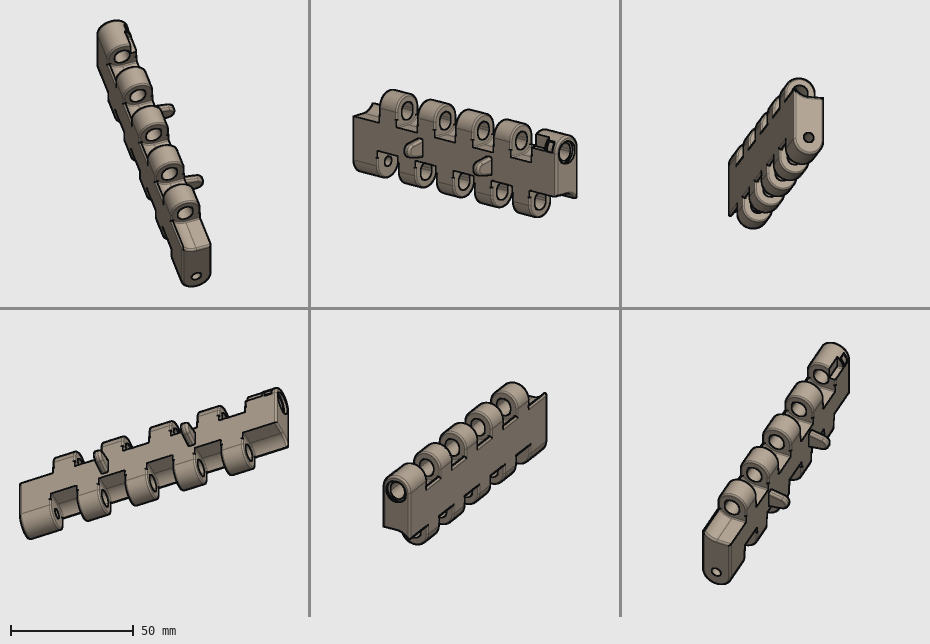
import cadquery as cq
import math

LENGTH = 114.2
HEIGHT = 37.5
THICKNESS = 12.7
TOTAL_DEPTH = 21.0
HALF_THICK = THICKNESS / 2
KNUCKLE_Z = HEIGHT / 2 - HALF_THICK
MARGIN = 2.3

PITCH = 21.2
KNUCKLE_WIDTH = 10.2
GAP = PITCH - KNUCKLE_WIDTH
SERIES_COUNT = 4
TOP_WIDE_KNUCKLE = 14.3
BOTTOM_WIDE_KNUCKLE = 14.4
DRAFT = 1.0

END_FILLET = 0.9
LIP_FILLET = 1.0
KNUCKLE_FILLET = 0.7
ROOT_FILLET = 0.5

VALLEY_RADIUS = 6.4
LIP_DROP = 3.3
LIP_Z = KNUCKLE_Z - LIP_DROP
FLOOR_Z = KNUCKLE_Z - VALLEY_RADIUS

BORE_SHIFT = 0.7
BORE_Z = KNUCKLE_Z - BORE_SHIFT
BORE_WIDTH = 6.5
BORE_HEIGHT = 7.5
BORE_DRAFT = 2.5
COUNTERBORE_DIAMETER = 9.4
COUNTERBORE_DEPTH = 1.4
PIN_TIP_DIAMETER = 4.1

NOTCH_START = 2.4
NOTCH_END = 5.6
NOTCH_REACH = 1.7
NOTCH_DEPTH = 0.3
POCKET_START = 6.5
POCKET_DEPTH = 2.7
POCKET_FILLET = 0.6

TOOTH_STARTS = (36.1, 74.6)
TOOTH_WIDTH = 3.2
TOOTH_BASE_HEIGHT = 7.9
TOOTH_TIP_RADIUS = 3.0
TOOTH_SLOPE = 10.0
TOOTH_FILLET = 1.0


def drafted_block(x_start, x_end, z_low, z_high, draft=DRAFT):
    """Block, overlapping front and back, that narrows towards the back by the draft angle.

    The X positions hold at the front face; a negative draft widens the block instead.
    """
    lean = math.tan(math.radians(draft))
    front_shift = MARGIN * lean
    back_shift = (THICKNESS + MARGIN) * lean
    front_y = -HALF_THICK - MARGIN
    back_y = HALF_THICK + MARGIN
    return (
        cq.Workplane("XY", origin=(0, 0, z_low))
        .moveTo(x_start - front_shift, front_y)
        .lineTo(x_end + front_shift, front_y)
        .lineTo(x_end - back_shift, back_y)
        .lineTo(x_start + back_shift, back_y)
        .close()
        .extrude(z_high - z_low)
    )


def make_plate():
    """Middle plate that carries both knuckle rows, with rounded front lips."""
    return (
        cq.Workplane("XY")
        .box(LENGTH, THICKNESS, 2 * LIP_Z, centered=(False, True, True))
        .edges("|X and <Y")
        .fillet(LIP_FILLET)
        .intersect(drafted_block(0, LENGTH, -LIP_Z, LIP_Z))
    )


def make_knuckle(x_start, x_end):
    """Upper knuckle from mid-height to its round tip; sides inside the length are rounded."""
    tip = cq.Workplane("YZ", origin=(0, 0, KNUCKLE_Z)).circle(HALF_THICK).extrude(LENGTH)
    web = cq.Workplane("XY").box(LENGTH, THICKNESS, KNUCKLE_Z, centered=(False, True, False))
    knuckle = web.union(tip).intersect(drafted_block(x_start, x_end, 0, HEIGHT / 2))
    rounded_sides = [">X"] if x_start == 0 else ["<X", ">X"]
    for side in rounded_sides:
        knuckle = knuckle.faces(side).edges("not <Z").fillet(KNUCKLE_FILLET)
    return knuckle


def trough(x_start, x_end):
    """Upper valley cutter: an arc at the front that runs out flat to the back."""
    back_y = HALF_THICK + MARGIN
    diagonal = VALLEY_RADIUS * math.sqrt(0.5)
    profile = (
        cq.Workplane("YZ", origin=(x_start - MARGIN, 0, 0))
        .moveTo(back_y, FLOOR_Z)
        .lineTo(0, FLOOR_Z)
        .threePointArc((-diagonal, KNUCKLE_Z - diagonal), (-VALLEY_RADIUS, KNUCKLE_Z))
        .lineTo(back_y, KNUCKLE_Z)
        .close()
    )
    gap = drafted_block(x_start, x_end, 0, HEIGHT / 2, -DRAFT)
    return profile.extrude(x_end - x_start + 2 * MARGIN).intersect(gap)


def inner_valley(x_start, x_end):
    """Cutter between two knuckles that leaves a fillet at both knuckle roots."""
    cutter = trough(x_start, x_end)
    for side in ("<X", ">X"):
        cutter = cutter.faces(side).edges("not (>Z or >Y)").fillet(ROOT_FILLET)
    return cutter


def end_valley(x_start):
    """Cutter from the last knuckle to the end; it flares to round the end edge."""
    cutter = trough(x_start, LENGTH + MARGIN)
    cutter = cutter.faces("<X").edges("not (>Z or >Y)").fillet(ROOT_FILLET)
    outside = drafted_block(LENGTH, LENGTH + 2 * MARGIN, 0, KNUCKLE_Z, -DRAFT)
    junction = cq.selectors.BoxSelector(
        (LENGTH - 1.1, -VALLEY_RADIUS, FLOOR_Z - 1.1),
        (LENGTH + 1.1, HALF_THICK, KNUCKLE_Z - 1.1),
    )
    return cutter.union(outside).edges(junction).fillet(END_FILLET)


def knuckle_spans(wide_knuckle):
    """Start and end of every knuckle in a row that begins with the wide knuckle."""
    starts = [wide_knuckle + GAP + i * PITCH for i in range(SERIES_COUNT)]
    return [(0, wide_knuckle)] + [(x, x + KNUCKLE_WIDTH) for x in starts]


def turned_over(shape):
    """Half turn about the Y line through mid-length, which swaps the two rows."""
    return shape.rotate((LENGTH / 2, 0, 0), (LENGTH / 2, 1, 0), 180)


def row_valleys(spans):
    inner = [inner_valley(left[1], right[0]) for left, right in zip(spans, spans[1:])]
    return inner + [end_valley(spans[-1][1])]


def make_tooth(x_start):
    """Tapered guide tooth with a round tip, rooted inside the plate."""
    slope = math.radians(TOOTH_SLOPE)
    tip_y = TOTAL_DEPTH - HALF_THICK
    tangent_y = tip_y - TOOTH_TIP_RADIUS * (1 - math.sin(slope))
    tangent_z = TOOTH_TIP_RADIUS * math.cos(slope)
    root_z = TOOTH_BASE_HEIGHT / 2 + HALF_THICK * math.tan(slope)
    return (
        cq.Workplane("YZ", origin=(x_start, 0, 0))
        .moveTo(0, -root_z)
        .lineTo(tangent_y, -tangent_z)
        .threePointArc((tip_y, 0), (tangent_y, tangent_z))
        .lineTo(0, root_z)
        .close()
        .extrude(TOOTH_WIDTH)
        .faces("<X or >X")
        .edges("not <Y")
        .fillet(TOOTH_FILLET)
    )


def slot_bore(x_start, x_end, z, draft=0):
    """Upright slot-shaped pin bore, narrowing along +X by the draft angle."""
    return (
        cq.Workplane("YZ", origin=(x_start, 0, z))
        .slot2D(BORE_HEIGHT, BORE_WIDTH, 90)
        .extrude(x_end - x_start, taper=draft)
    )


def round_bore(x_start, x_end, z, diameter):
    """Cylinder along X, centred in the thickness."""
    return cq.Workplane("YZ", origin=(x_start, 0, z)).circle(diameter / 2).extrude(x_end - x_start)


def back_block(x_start, x_end, reach):
    """Block reaching in from the back face, over the rear quarter of the upper knuckle tip."""
    block = cq.Workplane("XY").box(x_end - x_start, reach, HALF_THICK, centered=False)
    return block.translate((x_start, HALF_THICK - reach, KNUCKLE_Z))


def shallow_notch():
    """Cutter for the notch, whose floor follows the round knuckle tip."""
    floor = round_bore(NOTCH_START, NOTCH_END, KNUCKLE_Z, THICKNESS - 2 * NOTCH_DEPTH)
    return back_block(NOTCH_START, NOTCH_END, NOTCH_REACH).cut(floor)


def side_pocket():
    """Cutter for the pocket, open to the side, back and top, with one rounded floor corner."""
    pocket = back_block(POCKET_START, TOP_WIDE_KNUCKLE, POCKET_DEPTH)
    return pocket.faces("<X").edges("<Z").fillet(POCKET_FILLET)


top_spans = knuckle_spans(TOP_WIDE_KNUCKLE)
bottom_spans = knuckle_spans(BOTTOM_WIDE_KNUCKLE)

body = make_plate()
for span in top_spans:
    body = body.union(make_knuckle(*span))
for span in bottom_spans:
    body = body.union(turned_over(make_knuckle(*span)))
body = body.clean()
for end in ("<X", ">X"):
    body = body.faces(end).edges().fillet(END_FILLET)

for cutter in row_valleys(top_spans):
    body = body.cut(cutter)
for cutter in row_valleys(bottom_spans):
    body = body.cut(turned_over(cutter))

for tooth_start in TOOTH_STARTS:
    body = body.union(make_tooth(tooth_start))

body = body.cut(slot_bore(0, LENGTH, BORE_Z))
body = body.cut(round_bore(0, COUNTERBORE_DEPTH, BORE_Z, COUNTERBORE_DIAMETER))
body = body.cut(shallow_notch())
body = body.cut(side_pocket())

for row_start, row_end in bottom_spans[1:]:
    body = body.cut(slot_bore(LENGTH - row_end, LENGTH - row_start, -BORE_Z, BORE_DRAFT))
body = body.cut(round_bore(LENGTH - BOTTOM_WIDE_KNUCKLE, LENGTH, -BORE_Z, PIN_TIP_DIAMETER))

result = body